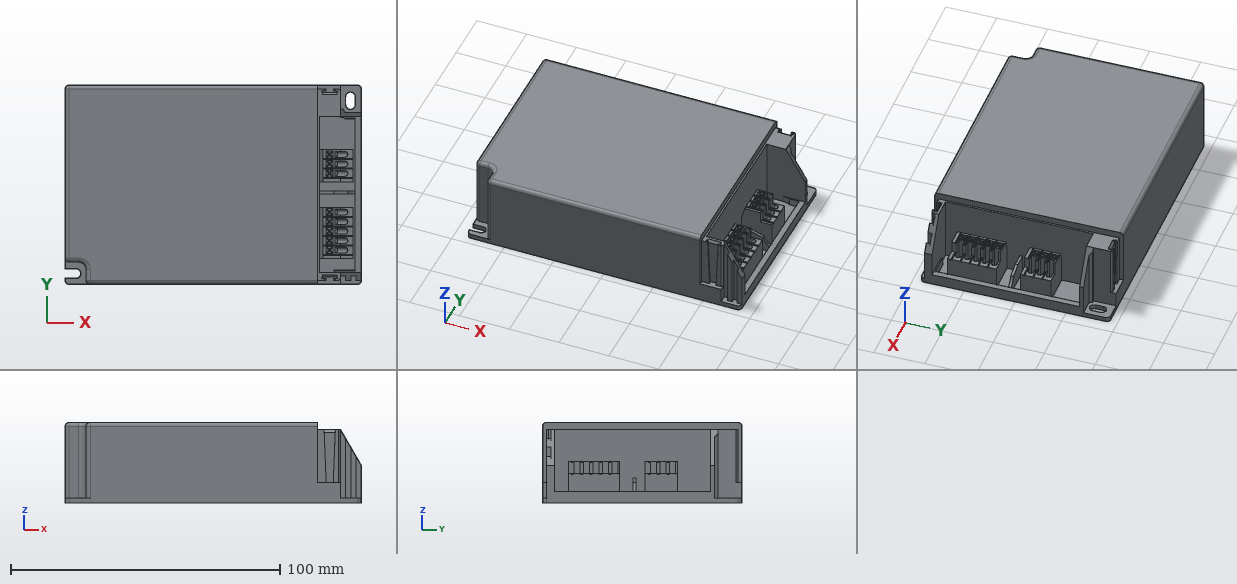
import cadquery as cq
import math

LENGTH = 110.0
WIDTH = 74.0
HEIGHT = 30.0
EDGE_RADIUS = 1.5
BASE_THICKNESS = 1.9

COVER_LENGTH = 93.7

POCKET_X = 7.8
POCKET_Y = 8.2
POCKET_RADIUS = 2.8

SLOT_WIDTH = 3.5
OPEN_SLOT_CENTER = 4.1
LONG_SLOT_X = 105.9
LONG_SLOT_Y = 68.2
LONG_SLOT_LENGTH = 6.4

NOTCH_CENTERS_Y = (18.7, 55.2)
NOTCH_WIDTH = 8.4
NOTCH_HEIGHT = 1.5
NOTCH_DEPTH = 2.2

TIER_TOP = 27.4
TIER_END = 102.2
SLOPE_END_Z = 14.0
LEDGE_Z = 7.7
LEDGE_WIDTH = 1.5

TROUGH_START = 94.5
TROUGH_END = 107.7
TROUGH_Y_MIN = 4.5
TROUGH_Y_MAX = 62.4
LIP_Z = 4.4
FOOT_START = 99.9
FOOT_TOP_WIDTH = 0.5
FOOT_BOTTOM_WIDTH = 0.9
FOOT_JOG_START = 101.2

TAB_WALL_Y = 63.9
JOG_Y = 65.1
JOG_START = 103.1
JOG_END = 103.8

GROOVE_STARTS_X = (TIER_END, 106.0)
GROOVE_WIDTH = 2.0
GROOVE_Y = 3.1

T_CENTER_X = 98.2
T_WIDTH = 5.9
T_CORNER = 0.3
T_LIP_Y = 2.2
T_BACK_Y = 2.8
T_MOUTH_BOTTOM = 2.6
T_MOUTH_TOP = 4.2
T_LEAD_WIDTH = T_WIDTH - 2 * T_CORNER
T_LEAD_DEPTH = 0.8
T_LEAD_HEIGHT = 1.1
TIER_CORNER_CHAMFER = 0.7

DIVIDER_Y = 33.7
DIVIDER_WIDTH = 1.1
DIVIDER_TOP = 9.4
DIVIDER_SLOPE_START = FOOT_START
DIVIDER_CURVE_START = 104.9
DIVIDER_CURVE_Z = 7.7
DIVIDER_CURVE_MID = (105.9, 5.7)

PITCH = 3.5
END_PLATE = 1.4
BLOCK_END = 106.8
BLOCK_BACK_Z = 11.0
BLOCK_TOP_START = 95.8
BLOCK_STEP_X = TIER_END
BLOCK_TOP = 15.4
BLOCK_STEP_Z = 11.0
JOINT_WIDTH = 0.3
JOINT_DEPTH = 0.3
BUTTON_X = 98.1
BUTTON_SIZE = 2.6
BUTTON_DEPTH = 0.5
CROSS_LENGTH = 3.1
CROSS_WIDTH = 0.3
CROSS_DEPTH = 0.4
BORE_START = 100.2
BORE_END = 104.9
BORE_RADIUS = 1.1
BORE_TILT = 60.0
BLOCKS = ((38.1, 3), (9.6, 5))


def box(x0, x1, y0, y1, z0, z1):
    """Box between two corners."""
    return cq.Workplane("XY").box(x1 - x0, y1 - y0, z1 - z0, centered=False).translate((x0, y0, z0))


def side_prism(profile, y0, y1):
    """Extrude a closed XZ profile from y0 to y1."""
    return profile.extrude(y0 - y1).translate((0, y0, 0))


def make_base():
    """Rounded base plate."""
    return box(0, LENGTH, 0, WIDTH, 0, BASE_THICKNESS).edges("|Z").fillet(EDGE_RADIUS)


def is_cover_round(edge):
    """True for the outer upright edges and for the top edges, except those of the terminal end."""
    middle = edge.Center()
    if middle.x > COVER_LENGTH - EDGE_RADIUS:
        return False
    if middle.z > HEIGHT - EDGE_RADIUS:
        return True
    corners = ((0, WIDTH), (0, POCKET_Y), (POCKET_X, 0))
    return any(abs(middle.x - x) + abs(middle.y - y) < EDGE_RADIUS / 10 for x, y in corners)


def make_cover():
    """Main cover with a round-cornered pocket cut out of one corner."""
    cover = (
        cq.Workplane("XY")
        .moveTo(POCKET_X, 0)
        .lineTo(COVER_LENGTH, 0)
        .lineTo(COVER_LENGTH, WIDTH)
        .lineTo(0, WIDTH)
        .lineTo(0, POCKET_Y)
        .lineTo(POCKET_X - POCKET_RADIUS, POCKET_Y)
        .radiusArc((POCKET_X, POCKET_Y - POCKET_RADIUS), POCKET_RADIUS)
        .close()
        .extrude(HEIGHT)
    )
    rounds = [edge for edge in cover.edges("|Z or >Z").vals() if is_cover_round(edge)]
    return cover.newObject(rounds).fillet(EDGE_RADIUS)


def make_t_slot():
    """Tapered mouth, wide inner channel and lead-in chamfer of the T-slot on the -Y side."""
    half_bottom = T_MOUTH_BOTTOM / 2
    half_top = T_MOUTH_TOP / 2
    mouth_profile = cq.Workplane("XZ").polyline([
        (T_CENTER_X - half_bottom, LEDGE_Z),
        (T_CENTER_X + half_bottom, LEDGE_Z),
        (T_CENTER_X + half_top, TIER_TOP),
        (T_CENTER_X - half_top, TIER_TOP),
    ]).close()
    mouth = side_prism(mouth_profile, LEDGE_WIDTH, T_BACK_Y)

    half_t = T_WIDTH / 2
    channel = box(T_CENTER_X - half_t, T_CENTER_X + half_t, T_LIP_Y, T_BACK_Y, LEDGE_Z, TIER_TOP)
    channel = channel.edges("|Z and >Y").chamfer(T_CORNER)

    lead = (
        cq.Workplane("YZ")
        .polyline([
            (T_BACK_Y, TIER_TOP - T_LEAD_HEIGHT),
            (T_BACK_Y + T_LEAD_DEPTH, TIER_TOP),
            (T_BACK_Y, TIER_TOP),
        ])
        .close()
        .extrude(T_LEAD_WIDTH)
        .translate((T_CENTER_X - T_LEAD_WIDTH / 2, 0, 0))
    )
    return mouth.union(channel).union(lead)


def make_tier_side_cut():
    """Ledge, T-slot and corner chamfer cut into the -Y side of the tier."""
    ledge = box(COVER_LENGTH, TIER_END, 0, LEDGE_WIDTH, LEDGE_Z, TIER_TOP)
    corner = (
        cq.Workplane("XY")
        .polyline([
            (TIER_END - TIER_CORNER_CHAMFER, LEDGE_WIDTH),
            (TIER_END, LEDGE_WIDTH),
            (TIER_END, LEDGE_WIDTH + TIER_CORNER_CHAMFER),
        ])
        .close()
        .extrude(TIER_TOP - LEDGE_Z)
        .translate((0, 0, LEDGE_Z))
    )
    return ledge.union(make_t_slot()).union(corner)


def make_tab_cut():
    """Space above the mounting tab, bounded by the jogged wall."""
    return (
        cq.Workplane("XY")
        .polyline([
            (TIER_END, JOG_Y),
            (JOG_START, JOG_Y),
            (JOG_END, TAB_WALL_Y),
            (LENGTH, TAB_WALL_Y),
            (LENGTH, WIDTH),
            (TIER_END, WIDTH),
        ])
        .close()
        .extrude(TIER_TOP)
        .translate((0, 0, BASE_THICKNESS))
    )


def make_front_corner_cut():
    """Step and upright grooves in the front corner wall."""
    cut = box(TIER_END, LENGTH, 0, LEDGE_WIDTH, BASE_THICKNESS, TIER_TOP)
    for x in GROOVE_STARTS_X:
        cut = cut.union(box(x, x + GROOVE_WIDTH, 0, GROOVE_Y, BASE_THICKNESS, TIER_TOP))
    return cut


def foot_bar(start_x):
    """Bar with a slanted face, standing at y = 0 and running to the end of the trough."""
    return (
        cq.Workplane("YZ")
        .polyline([
            (0, BASE_THICKNESS),
            (FOOT_BOTTOM_WIDTH, BASE_THICKNESS),
            (FOOT_TOP_WIDTH, LIP_Z),
            (0, LIP_Z),
        ])
        .close()
        .extrude(TROUGH_END - start_x)
        .translate((start_x, 0, 0))
    )


def make_near_foot():
    """Foot of the -Y trough wall."""
    return foot_bar(FOOT_START).translate((0, TROUGH_Y_MIN, 0))


def make_far_foot():
    """Foot of the +Y trough wall, with a slanted start beside the jog."""
    bar = foot_bar(JOG_END).mirror("XZ").translate((0, TROUGH_Y_MAX, 0))
    start = (
        cq.Workplane("XY")
        .polyline([
            (FOOT_JOG_START, TROUGH_Y_MAX),
            (JOG_END, TROUGH_Y_MAX),
            (JOG_END, TROUGH_Y_MAX - FOOT_TOP_WIDTH),
        ])
        .close()
        .extrude(LIP_Z - BASE_THICKNESS)
        .translate((0, 0, BASE_THICKNESS))
    )
    return bar.union(start)


def make_divider():
    """Thin wall between the terminal blocks, falling in a slope and a hollow curve to the lip."""
    profile = (
        cq.Workplane("XZ")
        .moveTo(TROUGH_START, BASE_THICKNESS)
        .lineTo(TROUGH_END, BASE_THICKNESS)
        .lineTo(TROUGH_END, LIP_Z)
        .threePointArc(DIVIDER_CURVE_MID, (DIVIDER_CURVE_START, DIVIDER_CURVE_Z))
        .lineTo(DIVIDER_SLOPE_START, DIVIDER_TOP)
        .lineTo(TROUGH_START, DIVIDER_TOP)
        .close()
    )
    return side_prism(profile, DIVIDER_Y, DIVIDER_Y + DIVIDER_WIDTH)


def make_terminal_end():
    """Stepped and sloped end with the trough for the terminal blocks."""
    profile = cq.Workplane("XZ").polyline([
        (COVER_LENGTH, 0),
        (LENGTH, 0),
        (LENGTH, SLOPE_END_Z),
        (TIER_END, TIER_TOP),
        (COVER_LENGTH, TIER_TOP),
    ]).close()
    end = side_prism(profile, 0, WIDTH)

    trough = box(TROUGH_START, TROUGH_END, TROUGH_Y_MIN, TROUGH_Y_MAX, BASE_THICKNESS, TIER_TOP)
    above_lip = box(TROUGH_END, LENGTH, TROUGH_Y_MIN, TROUGH_Y_MAX, LIP_Z, TIER_TOP)
    side_cut = make_tier_side_cut()
    far_side_cut = side_cut.mirror("XZ").translate((0, WIDTH, 0))
    for cut in (trough, above_lip, side_cut, far_side_cut, make_tab_cut(), make_front_corner_cut()):
        end = end.cut(cut)

    end = end.union(make_near_foot()).union(make_far_foot()).union(make_divider())

    outline = box(0, LENGTH, 0, WIDTH, 0, HEIGHT).edges("|Z and >X").fillet(EDGE_RADIUS)
    return end.intersect(outline)


def make_mounting_slots():
    """Slot open to the plain end, and closed slot in the tab of the terminal end."""
    open_slot = box(
        0, OPEN_SLOT_CENTER,
        OPEN_SLOT_CENTER - SLOT_WIDTH / 2, OPEN_SLOT_CENTER + SLOT_WIDTH / 2,
        0, BASE_THICKNESS,
    )
    slot_end = (
        cq.Workplane("XY")
        .center(OPEN_SLOT_CENTER, OPEN_SLOT_CENTER)
        .circle(SLOT_WIDTH / 2)
        .extrude(BASE_THICKNESS)
    )
    long_slot = (
        cq.Workplane("XY")
        .center(LONG_SLOT_X, LONG_SLOT_Y)
        .slot2D(LONG_SLOT_LENGTH, SLOT_WIDTH, 90)
        .extrude(BASE_THICKNESS)
    )
    return open_slot.union(slot_end).union(long_slot)


def make_housing():
    """Complete housing as one solid."""
    housing = make_base().union(make_cover()).union(make_terminal_end())
    housing = housing.cut(make_mounting_slots())
    for y in NOTCH_CENTERS_Y:
        housing = housing.cut(box(0, NOTCH_DEPTH, y - NOTCH_WIDTH / 2, y + NOTCH_WIDTH / 2, 0, NOTCH_HEIGHT))
    return housing


def make_button_cut(y):
    """Square recess with a diagonal cross in its floor, centred at y."""
    floor = BLOCK_TOP - BUTTON_DEPTH
    cut = (
        cq.Workplane("XY", origin=(BUTTON_X, y, floor))
        .rect(BUTTON_SIZE, BUTTON_SIZE)
        .extrude(BUTTON_DEPTH)
    )
    for angle in (45, -45):
        cross = (
            cq.Workplane("XY", origin=(BUTTON_X, y, floor))
            .transformed(rotate=(0, 0, angle))
            .rect(CROSS_LENGTH, CROSS_WIDTH)
            .extrude(-CROSS_DEPTH)
        )
        cut = cut.union(cross)
    return cut


def make_wire_entry(y):
    """Round bore falling steeply away from the lower level, open above its axis, centred at y."""
    tilt = math.radians(BORE_TILT)
    axis_top_x = BORE_END - BORE_RADIUS / math.sin(tilt)
    axis_run = axis_top_x - BORE_START
    axis_bottom_z = BLOCK_STEP_Z - axis_run * math.tan(tilt)
    axis_start = cq.Vector(BORE_START, y, axis_bottom_z)
    axis_direction = cq.Vector(math.cos(tilt), 0, math.sin(tilt))
    bore_length = axis_run / math.cos(tilt) + 2 * BORE_RADIUS
    bore = cq.Solid.makeCylinder(BORE_RADIUS, bore_length, axis_start, axis_direction)

    opening = cq.Workplane("XZ").polyline([
        (BORE_START, axis_bottom_z),
        (axis_top_x, BLOCK_STEP_Z),
        (axis_top_x, BLOCK_TOP),
        (BORE_START, BLOCK_TOP),
    ]).close()
    return side_prism(opening, y - BORE_RADIUS, y + BORE_RADIUS).union(cq.Workplane(bore))


def make_joint_cut(y):
    """Shallow joint line across the two top levels, centred at y."""
    y0 = y - JOINT_WIDTH / 2
    y1 = y + JOINT_WIDTH / 2
    upper = box(BLOCK_TOP_START, BLOCK_STEP_X, y0, y1, BLOCK_TOP - JOINT_DEPTH, BLOCK_TOP)
    lower = box(BLOCK_STEP_X, BLOCK_END, y0, y1, BLOCK_STEP_Z - JOINT_DEPTH, BLOCK_STEP_Z)
    return upper.union(lower)


def make_terminal_block(start_y, poles):
    """Stepped terminal block: an end plate followed by a row of poles."""
    first_pole_y = start_y + END_PLATE
    profile = cq.Workplane("XZ").polyline([
        (TROUGH_START, BASE_THICKNESS),
        (BLOCK_END, BASE_THICKNESS),
        (BLOCK_END, BLOCK_STEP_Z),
        (BLOCK_STEP_X, BLOCK_STEP_Z),
        (BLOCK_STEP_X, BLOCK_TOP),
        (BLOCK_TOP_START, BLOCK_TOP),
        (TROUGH_START, BLOCK_BACK_Z),
    ]).close()
    block = side_prism(profile, start_y, first_pole_y + poles * PITCH)
    for i in range(poles):
        pole_start = first_pole_y + i * PITCH
        block = block.cut(make_joint_cut(pole_start))
        pole_y = pole_start + PITCH / 2
        block = block.cut(make_button_cut(pole_y))
        block = block.cut(make_wire_entry(pole_y))
    return block


housing = make_housing()
terminal_blocks = [make_terminal_block(start_y, poles) for start_y, poles in BLOCKS]

result = cq.Compound.makeCompound([housing.val(), *[block.val() for block in terminal_blocks]])